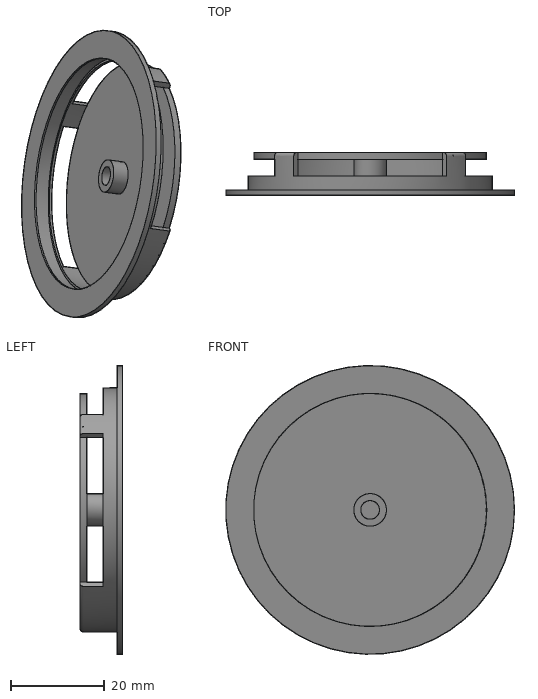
import cadquery as cq
import math

flange_radius = 31.0
flange_thickness = 1.2
bore_radius = 25.0
wall_radius = 26.25
collar_back = 4.2
total_depth = 9.2
plate_thickness = 1.5
plate_front = total_depth - plate_thickness
rim_fillet = 0.8

groove_radius = 25.5
groove_front = 0.4
groove_back = 3.6

boss_radius = 3.5
boss_hole_radius = 2.0
boss_front = 4.2

window_directions = (0, 90, 180)
arm_width = 5.8


def disc(radius, front, back):
    """Solid cylinder about the Y axis between two depths."""
    plane = cq.Workplane("XZ", origin=(0, front, 0))
    return plane.circle(radius).extrude(front - back)


def cup():
    """Flanged cup with a rounded outer back edge and a groove in its bore."""
    body = disc(wall_radius, 0, total_depth).faces(">Y").edges().fillet(rim_fillet)
    body = body.union(disc(flange_radius, 0, flange_thickness))
    body = body.cut(disc(bore_radius, 0, plate_front))
    return body.cut(disc(groove_radius, groove_front, groove_back))


def boss():
    """Hollow boss standing on the front of the back plate."""
    hole = disc(boss_hole_radius, boss_front, plate_front)
    return disc(boss_radius, boss_front, plate_front).cut(hole)


def window(direction):
    """Right-angled wedge that opens the wall behind the collar, clear of the back plate."""
    apex = arm_width / math.sqrt(2)
    reach = flange_radius
    wedge = (
        cq.Workplane("XZ", origin=(0, collar_back, 0))
        .polyline([(apex, 0), (reach, reach - apex), (reach, apex - reach)])
        .close()
        .extrude(collar_back - total_depth)
    )
    wedge = wedge.cut(disc(bore_radius, collar_back, total_depth))
    return wedge.rotate((0, 0, 0), (0, 1, 0), -direction)


result = cup().union(boss())
for window_direction in window_directions:
    result = result.cut(window(window_direction))